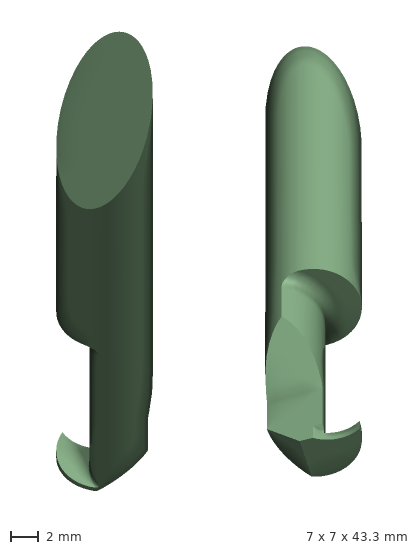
import cadquery as cq
import math

bar_radius = 3.5
bar_length = 43.3
slant_angle = math.radians(30)
margin = 2.15
reach = bar_radius + margin

neck_offset = 2.77
shoulder_z = 16.15
neck_fillet = 0.95
foot_fillet = 0.3

relief_y = 0.17
relief_corner_z = 6.25
relief_fillet = 1.75

blade_thickness = 0.95
bottom_rise = 0.17
bottom_tilt = 2.0
top_drop = 0.25
chamfer_x = 0.85

split_x = -0.85
groove_depth = 0.45
groove_middle_x = -1.75
groove_end_x = 0.0
groove_top_z = 1.55


def prism_along_x(outline):
    """Extrude a closed (Y, Z) outline across the whole bar."""
    return outline.close().extrude(reach, both=True)


def top_slant():
    """Wedge above the slanted top end, which is highest at +Y."""
    rise_per_y = 1 / math.tan(slant_angle)
    low_z = bar_length - (bar_radius + reach) * rise_per_y
    high_z = bar_length + margin * rise_per_y
    return prism_along_x(
        cq.Workplane("YZ").moveTo(-reach, low_z).lineTo(reach, high_z).lineTo(-reach, high_z)
    )


def neck_cutter():
    """Space beside the neck, from the blade's sloping top to the shoulder."""
    slope = top_drop / bar_radius
    space = prism_along_x(
        cq.Workplane("YZ")
        .moveTo(-reach, blade_thickness - slope * reach)
        .lineTo(reach, blade_thickness + slope * reach)
        .lineTo(reach, shoulder_z)
        .lineTo(-reach, shoulder_z)
    )
    arc_shift = neck_fillet * (1 - math.sqrt(0.5))
    foot_shift = foot_fillet * (1 - math.sqrt(0.5))
    foot_z = blade_thickness - top_drop
    neck = (
        cq.Workplane("XZ")
        .lineTo(bar_radius + foot_fillet, 0)
        .lineTo(bar_radius + foot_fillet, foot_z)
        .threePointArc(
            (bar_radius + foot_shift, foot_z + foot_shift),
            (bar_radius, foot_z + foot_fillet),
        )
        .lineTo(bar_radius, shoulder_z - neck_fillet)
        .threePointArc(
            (bar_radius + arc_shift, shoulder_z - arc_shift),
            (bar_radius + neck_fillet, shoulder_z),
        )
        .lineTo(0, shoulder_z)
        .close()
        .revolve(360, (0, 0), (0, 1))
        .translate((neck_offset, 0, 0))
    )
    return space.cut(neck)


def back_relief():
    """Space behind the flat relief face and its 30 degree run-out."""
    runout_height = (reach - relief_y) / math.tan(slant_angle)
    relief = prism_along_x(
        cq.Workplane("YZ")
        .moveTo(relief_y, -margin)
        .lineTo(relief_y, relief_corner_z)
        .lineTo(reach, relief_corner_z + runout_height)
        .lineTo(reach, -margin)
    )
    corner = cq.selectors.NearestToPointSelector((0, relief_y, relief_corner_z))
    return relief.edges(corner).fillet(relief_fillet)


def bottom_relief():
    """Space under the blade, whose underside climbs from the tip to the front and to +X."""
    slope = bottom_rise / bar_radius
    relief = prism_along_x(
        cq.Workplane("YZ")
        .moveTo(-reach, slope * reach)
        .lineTo(reach, -slope * reach)
        .lineTo(reach, -margin)
        .lineTo(-reach, -margin)
    )
    return relief.rotate((-bar_radius, 0, 0), (-bar_radius, 1, 0), -bottom_tilt)


def end_chamfer():
    """45 degree cut under the +X side."""
    return (
        cq.Workplane("XZ")
        .moveTo(chamfer_x - margin, -margin)
        .lineTo(reach, reach - chamfer_x)
        .lineTo(reach, -margin)
        .close()
        .extrude(reach, both=True)
    )


def rake_groove():
    """Shallow round groove in the blade's back face, ending in a 45 degree slope."""
    groove = (
        cq.Workplane("XY")
        .workplane(offset=-margin)
        .moveTo(-bar_radius, 0)
        .threePointArc((groove_middle_x, -groove_depth), (groove_end_x, relief_y))
        .lineTo(groove_end_x, margin)
        .lineTo(-reach, margin)
        .lineTo(-reach, 0)
        .close()
        .extrude(margin + groove_top_z + margin)
    )
    below_slope = prism_along_x(
        cq.Workplane("YZ")
        .moveTo(relief_y - reach, groove_top_z - reach)
        .lineTo(relief_y + margin, groove_top_z + margin)
        .lineTo(relief_y + margin, groove_top_z - reach)
    )
    return groove.intersect(below_slope)


def tip_region():
    """Block around the blade on the -X side of the split plane."""
    block = cq.Workplane("XY").box(
        reach + split_x, 2 * reach, shoulder_z / 2, centered=(False, True, False)
    )
    return block.translate((-reach, 0, 0))


def whole_tool():
    """Bar and tip together, before they are split."""
    tool = cq.Workplane("XY").circle(bar_radius).extrude(bar_length)
    cutters = [
        top_slant(),
        neck_cutter(),
        back_relief(),
        bottom_relief(),
        end_chamfer(),
        rake_groove(),
    ]
    for cutter in cutters:
        tool = tool.cut(cutter)
    return tool


tool = whole_tool()
holder = tool.cut(tip_region())
cutting_tip = tool.intersect(tip_region())

result = cq.Compound.makeCompound([holder.val(), cutting_tip.val()])